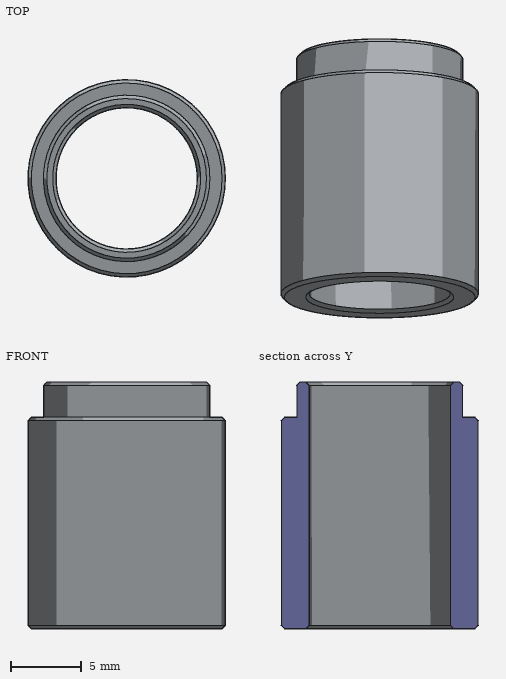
import cadquery as cq

total_height = 17.5
body_diameter = 14.0
neck_diameter = 11.8
neck_height = 2.5
bore_diameter = 10.0
edge_chamfer = 0.25

body_height = total_height - neck_height

body = cq.Workplane("XY").circle(body_diameter / 2).extrude(body_height)
body = body.faces("<Z or >Z").edges().chamfer(edge_chamfer)

neck = cq.Workplane("XY").workplane(offset=body_height).circle(neck_diameter / 2).extrude(neck_height)
neck = neck.faces(">Z").edges().chamfer(edge_chamfer)

bore = cq.Workplane("XY").circle(bore_diameter / 2).extrude(total_height)
sleeve = body.union(neck).cut(bore)
bore_mouths = sleeve.faces("<Z or >Z").edges(cq.selectors.RadiusNthSelector(0))
result = bore_mouths.chamfer(edge_chamfer)